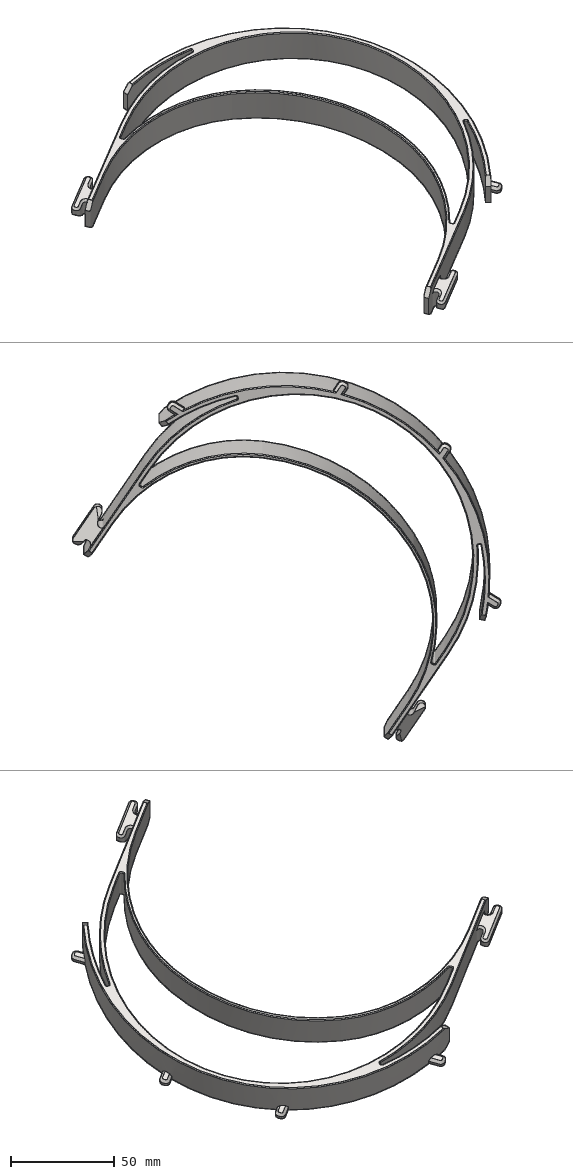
import cadquery as cq
import math

height = 20.0
band = 2.7
rim_chamfer = 0.5
tip_chamfer = 4.0
half_width = 95.5

loop_radius = 87.9
leg_end_y = -54.8
leg_tip_fillet = 0.8
leg_inner_x = loop_radius - band
leg_middle_x = loop_radius - band / 2

visor_radius = 100.0
visor_center_y = loop_radius - visor_radius
visor_middle_radius = visor_radius - band / 2
visor_tip_angle = 20.0
slot_end_angle = 38.0
notch_fillet = 0.5

strap = 2.0
strap_front_y = 46.6
strap_radius = 100.0
strap_joint_x = 43.5
web_end_y = -9.0

pin_width = 5.2
pin_height = 4.5
pin_length = 10.5
pin_end_fillet = 2.1
pin_chamfer = 1.3
front_pin_x = 29.6
front_pin_end_y = 89.0
side_pin_y = 33.0

hook_bar = 4.4
hook_low_y = -54.2
hook_high_y = -31.7
hook_top = 14.3
hook_edge_bottom = 9.7
hook_foot = 1.3
hook_end_fillet = 2.1
hook_chamfer = 1.1
stem_low_y = -47.4
stem_high_y = -38.5


def disc(radius, center_y):
    """Full-height disc centred on the Y axis."""
    return cq.Workplane("XY").center(0, center_y).circle(radius).extrude(height)


def block(x0, x1, y0, y1, top=height):
    """Box standing on the base plane."""
    return cq.Workplane("XY", origin=(x0, y0, 0)).rect(x1 - x0, y1 - y0, centered=False).extrude(top)


def turned(solid, angle):
    """The solid turned about the Z axis."""
    return solid.rotate((0, 0, 0), (0, 0, 1), angle)


def mirrored(solid):
    """The solid together with its mirror image across X = 0."""
    return solid.union(solid.mirror("YZ"))


def u_shape(radius):
    """Half disc about the origin, continued straight to the leg ends."""
    return (
        cq.Workplane("XY")
        .moveTo(-radius, leg_end_y)
        .lineTo(-radius, 0)
        .threePointArc((0, radius), (radius, 0))
        .lineTo(radius, leg_end_y)
        .close()
        .extrude(height)
    )


def tip_cutter(x, y, angle):
    """Two prisms that cut the corners of a band tip at (x, y); at angle 0 the band runs toward +Y."""
    reach = 4 * band
    plane = cq.Workplane("YZ", origin=(-reach / 2, 0, 0))
    low = plane.polyline([(0, 0), (tip_chamfer, 0), (0, tip_chamfer)]).close().extrude(reach)
    high = low.mirror("XY").translate((0, 0, height))
    return turned(low.union(high), angle).translate((x, y, 0))


def make_visor():
    """Crescent outside the loop, with an open slot between visor and loop on each side."""
    reach = 2 * half_width
    crescent = disc(visor_radius, visor_center_y).cut(u_shape(leg_middle_x))
    behind_tip = turned(block(-reach, reach, -reach, 0), -visor_tip_angle)
    behind_tip = behind_tip.translate((0, visor_center_y, 0))
    slot = disc(visor_radius - band, visor_center_y).cut(u_shape(loop_radius))
    slot = slot.intersect(turned(block(-reach, 0, -reach, 0), -slot_end_angle))
    return crescent.cut(mirrored(behind_tip)).cut(mirrored(slot))


def strap_outline(offset):
    """Solid filling the space behind the strap, up to `offset` inside the strap's outer face.

    The side arcs are tangent to the middle arc and, on the strap's inner face, to the legs.
    """
    joint_angle = math.asin(strap_joint_x / strap_radius)
    sin_joint = math.sin(joint_angle)
    front_inner = strap_radius - strap
    side_inner = (leg_inner_x - front_inner * sin_joint) / (1 - sin_joint)
    center_y = strap_front_y - strap_radius
    shift = front_inner - side_inner
    side_x = shift * sin_joint
    side_y = center_y + shift * math.cos(joint_angle)
    front = strap_radius - offset
    side = side_inner + strap - offset
    joint = (front * sin_joint, center_y + front * math.cos(joint_angle))
    middle_angle = joint_angle / 2 + math.pi / 4
    middle = (side_x + side * math.sin(middle_angle), side_y + side * math.cos(middle_angle))
    return (
        cq.Workplane("XY")
        .moveTo(-side_x - side, side_y)
        .threePointArc((-middle[0], middle[1]), (-joint[0], joint[1]))
        .threePointArc((0, center_y + front), joint)
        .threePointArc(middle, (side_x + side, side_y))
        .close()
        .extrude(height)
    )


def make_strap():
    """Strap with a solid web filling the narrow gap between it and each leg."""
    inside = strap_outline(strap)
    ring = strap_outline(0).cut(inside)
    low_y = inside.val().BoundingBox().ymin
    web = block(-leg_middle_x, -leg_inner_x + 3 * strap, low_y, web_end_y).cut(inside)
    return ring.union(mirrored(web))


def round_corners(body, x, y, radius):
    """Round the vertical edges that lie close to (x, y) and to its mirror point (-x, y)."""
    reach = 0.9 * band
    for side in (x, -x):
        low = (side - reach, y - reach, 0)
        high = (side + reach, y + reach, height)
        near = cq.selectors.BoxSelector(low, high)
        body = body.edges("|Z").edges(near).fillet(radius)
    return body


def make_pin(x, y, angle):
    """Round-ended pin with its end at (x, y), running into the visor."""
    pin = (
        block(0, pin_length, -pin_width / 2, pin_width / 2, pin_height)
        .edges("|Z and <X")
        .fillet(pin_end_fillet)
        .faces("|Z")
        .edges()
        .chamfer(pin_chamfer)
    )
    pin = turned(pin, angle).translate((x, y, 0))
    return pin.cut(disc(visor_middle_radius, visor_center_y))


def make_hook():
    """T-shaped hook outside the left leg, with sloping undersides."""
    bar_x = -half_width + hook_bar
    notch = (half_width - hook_bar - loop_radius) / 2
    foot_low_y = stem_low_y - notch
    foot_high_y = stem_high_y + notch
    bar = block(-half_width, bar_x, hook_low_y, hook_high_y, hook_top)
    bar = bar.edges("|Z").fillet(hook_end_fillet)
    stem = block(bar_x - hook_bar / 2, -leg_inner_x, foot_low_y, foot_high_y, hook_top)
    notch_points = [(bar_x + notch, foot_low_y), (bar_x + notch, foot_high_y)]
    stem = stem.cut(cq.Workplane("XY").pushPoints(notch_points).circle(notch).extrude(hook_top))
    plate = bar.union(stem)
    plate = plate.faces(">Z").edges().chamfer(hook_chamfer)

    side_profile = [
        (-half_width, hook_top),
        (-half_width, hook_edge_bottom),
        (-loop_radius, hook_foot),
        (-leg_inner_x, hook_foot),
        (-leg_inner_x, hook_top),
    ]
    side = cq.Workplane("XZ").polyline(side_profile).close().extrude(half_width)

    end_profile = [
        (hook_low_y, hook_top),
        (hook_low_y, hook_edge_bottom),
        (foot_low_y, hook_edge_bottom - (foot_low_y - hook_low_y)),
        (foot_low_y, 0),
        (foot_high_y, 0),
        (foot_high_y, hook_edge_bottom - (hook_high_y - foot_high_y)),
        (hook_high_y, hook_edge_bottom),
        (hook_high_y, hook_top),
    ]
    end = cq.Workplane("YZ").polyline(end_profile).close().extrude(-2 * half_width)
    return plate.intersect(side).intersect(end)


body = u_shape(loop_radius).cut(u_shape(leg_inner_x)).union(make_visor()).union(make_strap())
slot_end_x = loop_radius * math.cos(math.radians(slot_end_angle))
slot_end_y = loop_radius * math.sin(math.radians(slot_end_angle))
body = round_corners(body, slot_end_x, slot_end_y, notch_fillet)
body = round_corners(body, leg_inner_x, web_end_y, notch_fillet)
body = round_corners(body, leg_inner_x, leg_end_y, leg_tip_fillet)
body = body.faces("|Z").edges().chamfer(rim_chamfer)

tip_x = -visor_middle_radius * math.cos(math.radians(visor_tip_angle))
tip_y = visor_center_y + visor_middle_radius * math.sin(math.radians(visor_tip_angle))
body = body.cut(mirrored(tip_cutter(-leg_middle_x, leg_end_y, 0)))
body = body.cut(mirrored(tip_cutter(tip_x, tip_y, -visor_tip_angle)))

body = body.union(mirrored(make_pin(-front_pin_x, front_pin_end_y, -90)))
body = body.union(mirrored(make_pin(-half_width, side_pin_y, 0)))
result = body.union(mirrored(make_hook()))